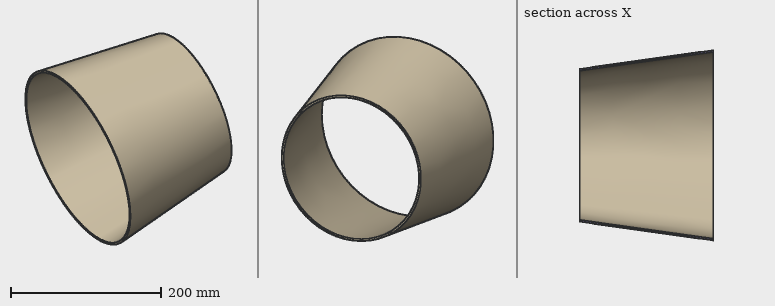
import cadquery as cq

large_diameter = 254.0
small_diameter = 204.0
length = 178.0
wall = 3.0

large_radius = large_diameter / 2
small_radius = small_diameter / 2
large_end_y = -length / 2
small_end_y = length / 2

wall_section = (
    cq.Workplane("XY")
    .moveTo(large_radius - wall, large_end_y)
    .lineTo(large_radius, large_end_y)
    .lineTo(small_radius, small_end_y)
    .lineTo(small_radius - wall, small_end_y)
    .close()
)

result = wall_section.revolve(360, (0, 0, 0), (0, 1, 0))